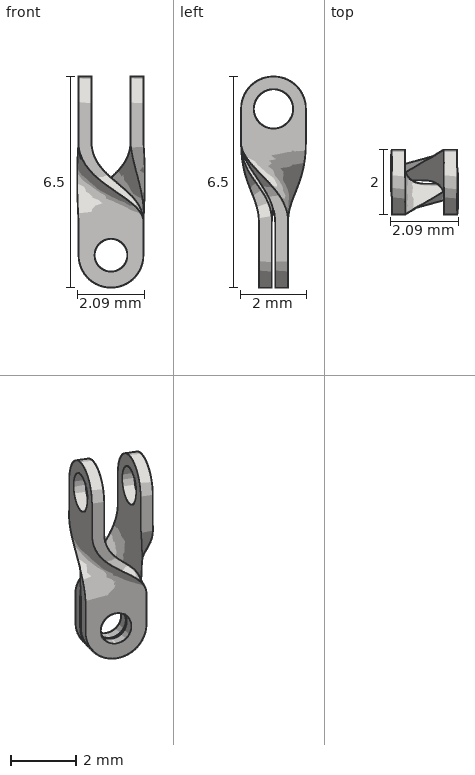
import cadquery as cq

total_height = 6.5
eye_width = 2.0
plate_thickness = 0.4
lower_gap = 0.1
lower_hole_diameter = 1.0
upper_hole_diameter = 1.2
front_inner_handles = (1.105, 1.2)
back_inner_handles = (1.04, 0.845)
front_outer_handles = (0.845, 1.365)
back_outer_handles = (1.17, 0.845)
edge_bow_pull = 0.06

half_width = eye_width / 2
eye_length = eye_width
lower_z = -total_height / 2
upper_z = total_height / 2
twist_bottom_z = lower_z + eye_length
twist_top_z = upper_z - eye_length
lower_inner_y = -lower_gap / 2
lower_outer_y = lower_inner_y - plate_thickness
upper_outer_x = -half_width
upper_inner_x = upper_outer_x + plate_thickness


def make_lower_eye():
    """Eye lying across Y, with its round end at the bottom."""
    center_z = lower_z + half_width
    return (
        cq.Workplane("XZ", origin=(0, lower_inner_y, 0))
        .moveTo(-half_width, twist_bottom_z)
        .lineTo(-half_width, center_z)
        .threePointArc((0, lower_z), (half_width, center_z))
        .lineTo(half_width, twist_bottom_z)
        .close()
        .moveTo(0, center_z)
        .circle(lower_hole_diameter / 2)
        .extrude(plate_thickness)
    )


def make_upper_eye():
    """Eye lying across X, with its round end at the top."""
    center_z = upper_z - half_width
    return (
        cq.Workplane("YZ", origin=(upper_outer_x, 0, 0))
        .moveTo(-half_width, twist_top_z)
        .lineTo(-half_width, center_z)
        .threePointArc((0, upper_z), (half_width, center_z))
        .lineTo(half_width, twist_top_z)
        .close()
        .moveTo(0, center_z)
        .circle(upper_hole_diameter / 2)
        .extrude(plate_thickness)
    )


def corner_curve(lower_corner, upper_corner, handles, bow=0.0):
    """Long edge of the twist, with vertical tangents at its ends when it has no bow."""
    lower_x, lower_y = lower_corner
    upper_x, upper_y = upper_corner
    lower_handle, upper_handle = handles
    return cq.Edge.makeBezier([
        cq.Vector(lower_x, lower_y, twist_bottom_z),
        cq.Vector(lower_x - bow, lower_y, twist_bottom_z + lower_handle),
        cq.Vector(upper_x - bow, upper_y, twist_top_z - upper_handle),
        cq.Vector(upper_x, upper_y, twist_top_z),
    ])


def make_twist():
    """Quarter-turn web: four ruled sides between four corner curves."""
    front_outer = corner_curve(
        (half_width, lower_outer_y), (upper_outer_x, -half_width), front_outer_handles
    )
    front_inner = corner_curve(
        (half_width, lower_inner_y), (upper_inner_x, -half_width), front_inner_handles
    )
    back_inner = corner_curve(
        (-half_width, lower_inner_y), (upper_inner_x, half_width), back_inner_handles, edge_bow_pull
    )
    back_outer = corner_curve(
        (-half_width, lower_outer_y), (upper_outer_x, half_width), back_outer_handles, edge_bow_pull
    )
    curves = [front_outer, front_inner, back_inner, back_outer]
    neighbours = curves[1:] + curves[:1]
    faces = [cq.Face.makeRuledSurface(a, b) for a, b in zip(curves, neighbours)]
    for position in (0, 1):
        corners = [curve.positionAt(position) for curve in curves]
        faces.append(cq.Face.makeFromWires(cq.Wire.makePolygon(corners, close=True)))
    return cq.Solid.makeSolid(cq.Shell.makeShell(faces))


def make_link(turn):
    """One complete twisted link, turned about Z into its place."""
    link = make_lower_eye().union(cq.Workplane(make_twist())).union(make_upper_eye())
    return link.rotate((0, 0, 0), (0, 0, 1), turn)


links = [make_link(turn) for turn in (0, 180)]

result = cq.Compound.makeCompound([link.val() for link in links])